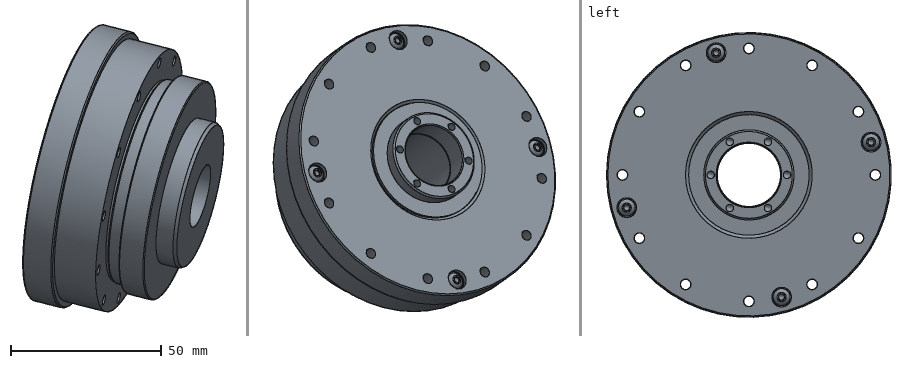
import cadquery as cq
import math

flange_front = 5.0
flange_back = 15.5
body_back = 30.0
neck_length = 0.8
ring_front = 35.5
ring_back = 44.4
total_length = 51.5

boss_radius = 30.0 / 2
flange_radius = 94.6 / 2
body_radius = 90.0 / 2
neck_radius = 69.0 / 2
collar_radius = 70 / 2
ring_radius = 75.0 / 2
hub_radius = 50.0 / 2

boss_chamfer = 0.6
flange_chamfer = 0.5
ring_chamfer = 0.4
hub_chamfer_length = 1.1
hub_chamfer_height = 0.7

groove_inner_radius = 40.0 / 2
groove_depth = 1.0
groove_width = groove_depth

bore_radius = 21.0 / 2
rear_bore_radius = 21.5 / 2
front_bore_depth = 9.8
bore_chamfer = 0.4

drill_tip_angle = 118
boss_hole_count = 6
boss_hole_radius = 2.5 / 2
boss_hole_circle = 12.7
boss_hole_depth = 5.7
flange_hole_count = 12
flange_hole_radius = 3.4 / 2
flange_hole_circle = 42.0

screw_count = 4
screw_circle = flange_hole_circle
screw_first_angle = 75
counterbore_radius = 6.5 / 2
counterbore_depth = 1.8
head_radius = 5.7 / 2
head_height = 1.6
head_rim_height = 0.2
dome_middle_height = 0.75 * head_height
head_top_radius = 1.5
socket_across_flats = 2.0
socket_depth = 0.8


def revolve_about_x(outline):
    """Revolve an (axial position, radius) outline about the X axis."""
    return cq.Workplane("XY").polyline(outline).close().revolve(360, (0, 0, 0), (1, 0, 0))


def turned_body():
    """Revolve the stepped outline with its groove and edge breaks."""
    collar_start = body_back + neck_length
    collar_chamfer = collar_radius - neck_radius
    outline = [
        (0, 0),
        (0, boss_radius - boss_chamfer),
        (boss_chamfer, boss_radius),
        (flange_front, boss_radius),
        (flange_front, groove_inner_radius),
        (flange_front + groove_depth, groove_inner_radius),
        (flange_front, groove_inner_radius + groove_width),
        (flange_front, flange_radius - flange_chamfer),
        (flange_front + flange_chamfer, flange_radius),
        (flange_back - flange_chamfer, flange_radius),
        (flange_back, flange_radius - flange_chamfer),
        (flange_back, body_radius),
        (body_back, body_radius),
        (body_back, neck_radius),
        (collar_start, neck_radius),
        (collar_start + collar_chamfer, collar_radius),
        (ring_front, collar_radius),
        (ring_front, ring_radius - ring_chamfer),
        (ring_front + ring_chamfer, ring_radius),
        (ring_back - ring_chamfer, ring_radius),
        (ring_back, ring_radius - ring_chamfer),
        (ring_back, hub_radius),
        (total_length - hub_chamfer_length, hub_radius),
        (total_length, hub_radius - hub_chamfer_height),
        (total_length, 0),
    ]
    return revolve_about_x(outline)


def bore():
    """Through bore with a chamfered mouth and a step to its wider back part."""
    return revolve_about_x([
        (0, 0),
        (0, bore_radius + bore_chamfer),
        (bore_chamfer, bore_radius),
        (front_bore_depth, bore_radius),
        (front_bore_depth, rear_bore_radius),
        (total_length, rear_bore_radius),
        (total_length, 0),
    ])


def cylinder(start, length, radius):
    """Cylinder along X, centered on the X axis."""
    return cq.Workplane("YZ", origin=(start, 0, 0)).circle(radius).extrude(length)


def blind_hole(start, depth, radius):
    """Drilled hole whose bottom is a conical drill tip."""
    tip_length = radius / math.tan(math.radians(drill_tip_angle / 2))
    return revolve_about_x([
        (start, 0),
        (start, radius),
        (start + depth, radius),
        (start + depth + tip_length, 0),
    ])


def ring_of(shape, count, circle_radius, first_angle=0):
    """Copies of a shape spaced evenly around X; angles run from +Y toward +Z."""
    pattern = cq.Workplane("YZ")
    off_center = shape.translate((0, circle_radius, 0))
    for i in range(count):
        angle = first_angle + i * 360 / count
        pattern = pattern.add(off_center.rotate((0, 0, 0), (1, 0, 0), angle))
    return pattern.combine()


def screw_head():
    """Domed screw head with a hexagonal socket, standing on the counterbore floor."""
    floor = flange_front + counterbore_depth
    top = floor - head_height
    rim = floor - head_rim_height
    dome_middle = (floor - dome_middle_height, (head_radius + head_top_radius) / 2)
    head = (
        cq.Workplane("XY")
        .moveTo(floor, 0)
        .lineTo(floor, head_radius)
        .lineTo(rim, head_radius)
        .threePointArc(dome_middle, (top, head_top_radius))
        .lineTo(top, 0)
        .close()
        .revolve(360, (0, 0, 0), (1, 0, 0))
    )
    socket_across_corners = socket_across_flats / math.cos(math.radians(30))
    socket = (
        cq.Workplane("YZ", origin=(top, 0, 0))
        .polygon(6, socket_across_corners)
        .extrude(socket_depth)
    )
    socket_tip = blind_hole(top, socket_depth, socket_across_flats / 2)
    return head.cut(socket).cut(socket_tip)


boss_hole = blind_hole(0, boss_hole_depth, boss_hole_radius)
flange_hole = cylinder(flange_front, body_back - flange_front, flange_hole_radius)
counterbore = cylinder(flange_front, counterbore_depth, counterbore_radius)

result = (
    turned_body()
    .cut(bore())
    .cut(ring_of(boss_hole, boss_hole_count, boss_hole_circle))
    .cut(ring_of(flange_hole, flange_hole_count, flange_hole_circle))
    .cut(ring_of(counterbore, screw_count, screw_circle, screw_first_angle))
    .union(ring_of(screw_head(), screw_count, screw_circle, screw_first_angle))
)